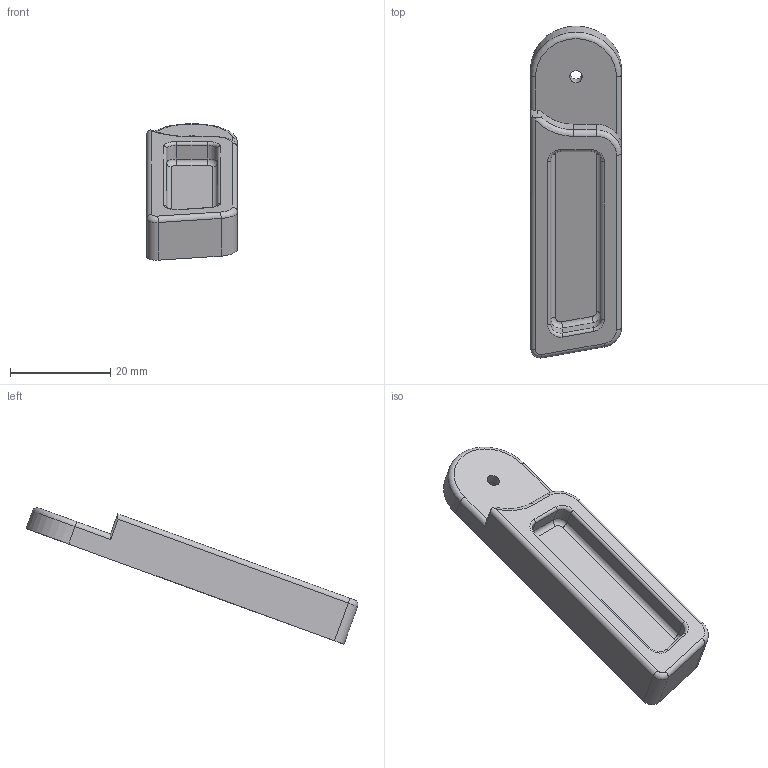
import cadquery as cq
import math


tilt_angle = 20.0
width = 18.13
half_width = width / 2
body_thickness = 9.0
tongue_thickness = 4.7
top_edge_radius = 1.0
hole_diameter = 2.5
counterbore_diameter = 5.0
counterbore_depth = 2.6

end_angle = 10.6
end_middle_y = -57.14
left_corner_radius = 2.0
right_corner_radius = 4.0

step_top_y = -7.15
step_tip_radius = 1.2
step_side_radius = 0.4
step_bottom_y = -10.1
step_right_radius = 5.0
step_left_radius = 9.0
step_left_arc_x = -0.5
tongue_root_y = step_bottom_y - 2 * step_right_radius

pocket_depth = 4.5
pocket_side_wall = 4.0
pocket_end_wall = 4.5
pocket_top_y = -14.5
pocket_corner_radius = 2.0
pocket_rim_radius = 0.6
pocket_floor_radius = 1.0

end_slope = math.tan(math.radians(end_angle))
left_arc_centre_y = step_bottom_y + step_left_radius


def slanted_end_y(x):
    """Y of the slanted end line at a given x."""
    return end_middle_y + x * end_slope


def round_vertical_edge(solid, x, y, radius):
    """Round the upright edge nearest to (x, y)."""
    nearest = cq.selectors.NearestToPointSelector((x, y, body_thickness / 2))
    return solid.edges("|Z").edges(nearest).fillet(radius)


def round_lower_corners(solid):
    """Round the two upright edges of the slanted end."""
    solid = round_vertical_edge(solid, -half_width, slanted_end_y(-half_width), left_corner_radius)
    return round_vertical_edge(solid, half_width, slanted_end_y(half_width), right_corner_radius)


def make_tongue():
    """Thin plate with a full round end; its lower part lies inside the thick body."""
    tongue = (
        cq.Workplane("XY")
        .moveTo(-half_width, tongue_root_y)
        .lineTo(half_width, tongue_root_y)
        .lineTo(half_width, 0)
        .threePointArc((0, half_width), (-half_width, 0))
        .close()
        .extrude(tongue_thickness)
    )
    tongue = tongue.faces(">Z").edges("not <Y").fillet(top_edge_radius)
    underside = tongue.faces("<Z").workplane(origin=(0, 0, 0))
    return underside.cboreHole(hole_diameter, counterbore_diameter, counterbore_depth)


def make_tip_cutter():
    """Cutter that ends the pointed left tip of the step in a flat face with rounded corners."""
    centre_y = step_top_y - step_tip_radius
    centre_distance = step_left_radius + step_tip_radius
    drop = left_arc_centre_y - centre_y
    centre_x = step_left_arc_x - math.sqrt(centre_distance**2 - drop**2)
    end_direction = math.asin(drop / centre_distance)
    middle_direction = (end_direction + math.pi / 2) / 2

    def tip_point(direction):
        return (
            centre_x + step_tip_radius * math.cos(direction),
            centre_y + step_tip_radius * math.sin(direction),
        )

    arc_end = tip_point(end_direction)
    side_y = step_top_y - step_side_radius
    side_x = -half_width + step_side_radius
    side_diagonal = step_side_radius * math.sqrt(0.5)
    return (
        cq.Workplane("XY")
        .moveTo(-width, side_y)
        .lineTo(-half_width, side_y)
        .threePointArc((side_x - side_diagonal, side_y + side_diagonal), (side_x, step_top_y))
        .lineTo(centre_x, step_top_y)
        .threePointArc(tip_point(middle_direction), arc_end)
        .lineTo(arc_end[0], half_width)
        .lineTo(-width, half_width)
        .close()
        .extrude(body_thickness)
    )


def make_body():
    """Thick grip with an S-shaped step at its upper end and a slanted lower end."""

    def left_arc_point(x):
        rise = math.sqrt(step_left_radius**2 - (x - step_left_arc_x) ** 2)
        return (x, left_arc_centre_y - rise)

    right_arc_x = half_width - step_right_radius
    right_arc_y = step_bottom_y - step_right_radius
    diagonal = step_right_radius * math.sqrt(0.5)
    body = (
        cq.Workplane("XY")
        .moveTo(-half_width, slanted_end_y(-half_width))
        .lineTo(half_width, slanted_end_y(half_width))
        .lineTo(half_width, right_arc_y)
        .threePointArc(
            (right_arc_x + diagonal, right_arc_y + diagonal),
            (right_arc_x, step_bottom_y),
        )
        .lineTo(step_left_arc_x, step_bottom_y)
        .threePointArc(
            left_arc_point((step_left_arc_x - half_width) / 2),
            left_arc_point(-half_width),
        )
        .close()
        .extrude(body_thickness)
    )
    body = round_lower_corners(body)
    body = body.faces(">Z").edges().fillet(top_edge_radius)
    return body.cut(make_tip_cutter())


def cut_pocket(solid):
    """Cut a pocket with a rounded rim and floor; its lower end is parallel to the slanted end."""
    half = half_width - pocket_side_wall
    end_offset = pocket_end_wall / math.cos(math.radians(end_angle))
    left_y = slanted_end_y(-half) + end_offset
    right_y = slanted_end_y(half) + end_offset
    cutter = (
        cq.Workplane("XY", origin=(0, 0, body_thickness - pocket_depth))
        .polyline([(-half, left_y), (half, right_y), (half, pocket_top_y), (-half, pocket_top_y)])
        .close()
        .extrude(pocket_depth)
    )
    cutter = cutter.edges("|Z").fillet(pocket_corner_radius)
    cutter = cutter.faces("<Z").edges().fillet(pocket_floor_radius)
    margin = 0.1
    rim_box = cq.selectors.BoxSelector(
        (-half - margin, left_y - margin, body_thickness - margin),
        (half + margin, pocket_top_y + margin, body_thickness + margin),
    )
    return solid.cut(cutter).edges(rim_box).fillet(pocket_rim_radius)


handle = cut_pocket(make_body().union(make_tongue()))
result = handle.rotate((0, 0, 0), (1, 0, 0), tilt_angle)